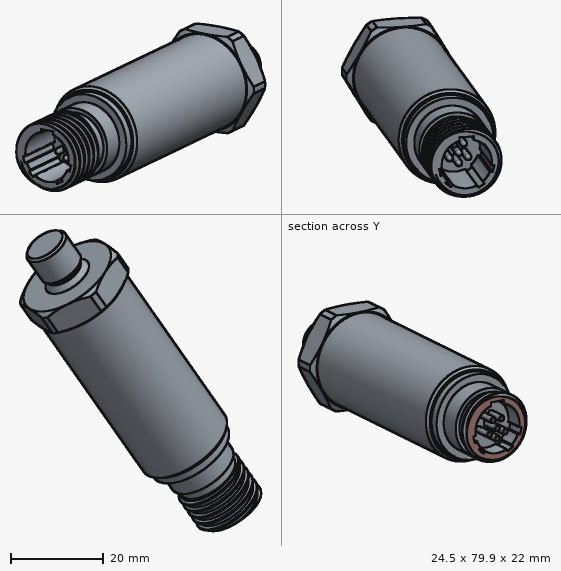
import cadquery as cq
import math

overall_length = 79.9
back_y = overall_length / 2
plug_end_y = -overall_length / 2

stub_diameter = 10.0
stub_length = 7.0
stub_end_chamfer = 0.55
undercut_diameter = 8.5
undercut_length = 0.5
undercut_taper_length = 0.8
root_cone_length = 1.35
root_cone_diameter = 10.95

hex_sides = 6
hex_across_flats = 22.0
hex_corner_diameter = 24.5
hex_length = 6.15
hex_chamfer_angle = 30.0

body_diameter = 21.6
body_length = 45.1
body_chamfer = 0.6
collar_diameter = 19.4
collar_length = 2.1
shoulder_diameter = 15.8
shoulder_length = 4.95
neck_diameter = 13.9

thread_core_diameter = 14.3
thread_diameter = shoulder_diameter
thread_length = 9.6
thread_turns = 5
thread_rise = 9.4
thread_pitch = thread_rise / thread_turns
thread_root_width = 1.1
thread_crest_width = 0.3
thread_embed = 0.2
overrun_turns = 1
thread_start_angle = 130.0

socket_diameter = 11.2
keyway_tip_radius = 6.15
main_keyway_angle = 90.0
main_keyway_width = 3.2
small_keyway_width = 1.5
small_keyway_angles = (-15.0, 195.0, 228.0, 302.0)
pin_diameter = 1.4
pin_length = 4.8
pin_circle_radius = 2.3
pin_angles = (-90.0, -28.0, 62.0, 118.0, 208.0)

undercut_back_y = back_y - stub_length - undercut_taper_length
undercut_front_y = undercut_back_y - undercut_length
hex_back_y = undercut_front_y - root_cone_length
hex_front_y = hex_back_y - hex_length
body_front_y = hex_front_y - body_length
collar_front_y = body_front_y - collar_length
shoulder_front_y = collar_front_y - shoulder_length
thread_back_y = plug_end_y + thread_length

socket_depth = shoulder_front_y - plug_end_y


def xz_plane_at(y):
    """Plane across the axis at height y, with local x along X, local y along Z, facing -Y."""
    return cq.Workplane("XZ", origin=(0, y, 0))


def make_turned_body():
    """Half profile of all round steps, revolved about Y."""
    stub_radius = stub_diameter / 2
    body_radius = body_diameter / 2
    profile = [
        (back_y, 0),
        (back_y, stub_radius - stub_end_chamfer),
        (back_y - stub_end_chamfer, stub_radius),
        (back_y - stub_length, stub_radius),
        (undercut_back_y, undercut_diameter / 2),
        (undercut_front_y, undercut_diameter / 2),
        (hex_back_y, root_cone_diameter / 2),
        (hex_back_y, body_radius),
        (body_front_y + body_chamfer, body_radius),
        (body_front_y, body_radius - body_chamfer),
        (body_front_y, collar_diameter / 2),
        (collar_front_y, collar_diameter / 2),
        (collar_front_y, shoulder_diameter / 2),
        (shoulder_front_y, shoulder_diameter / 2),
        (shoulder_front_y, neck_diameter / 2),
        (thread_back_y, neck_diameter / 2),
        (thread_back_y, 0),
    ]
    return cq.Workplane("YZ").polyline(profile).close().revolve(360, (0, 0, 0), (1, 0, 0))


def make_hexagon():
    """Hexagon with flats facing up and down, corners turned round and both ends chamfered."""
    hex_circumdiameter = hex_across_flats / math.cos(math.pi / hex_sides)
    prism = xz_plane_at(hex_back_y).polygon(hex_sides, hex_circumdiameter).extrude(hex_length)
    end_radius = hex_across_flats / 2
    corner_radius = hex_corner_diameter / 2
    chamfer_length = (corner_radius - end_radius) * math.tan(math.radians(hex_chamfer_angle))
    envelope_profile = [
        (0, hex_back_y),
        (end_radius, hex_back_y),
        (corner_radius, hex_back_y - chamfer_length),
        (corner_radius, hex_front_y + chamfer_length),
        (end_radius, hex_front_y),
        (0, hex_front_y),
    ]
    envelope = cq.Workplane("XY").polyline(envelope_profile).close().revolve(360, (0, 0, 0), (0, 1, 0))
    return prism.intersect(envelope)


def make_threaded_plug():
    """Plug core with a right-handed ridge, trimmed square at both ends of the thread."""
    core_radius = thread_core_diameter / 2
    inner_radius = core_radius - thread_embed
    overrun = thread_pitch * overrun_turns
    total_length = thread_length + 2 * overrun
    helix = cq.Workplane(cq.Wire.makeHelix(thread_pitch, total_length, inner_radius))
    ridge_profile = [
        (inner_radius, -thread_root_width / 2),
        (thread_diameter / 2, -thread_crest_width / 2),
        (thread_diameter / 2, thread_crest_width / 2),
        (inner_radius, thread_root_width / 2),
    ]
    ridge = cq.Workplane("XZ").polyline(ridge_profile).close().sweep(helix, isFrenet=True)
    ridge = ridge.rotate((0, 0, 0), (0, 0, 1), thread_start_angle)
    ridge = ridge.rotate((0, 0, 0), (1, 0, 0), 90)
    ridge = ridge.translate((0, thread_back_y + overrun, 0))
    core_overrun = overrun + thread_pitch
    core = xz_plane_at(thread_back_y + core_overrun).circle(core_radius)
    core = core.extrude(thread_length + 2 * core_overrun)
    trim_zone = xz_plane_at(thread_back_y).circle(thread_diameter).extrude(thread_length)
    return core.union(ridge).intersect(trim_zone)


def make_keyway(angle, width):
    """Bar from the axis out to the keyway tip, along the whole socket."""
    bar = xz_plane_at(shoulder_front_y).rect(keyway_tip_radius, width).extrude(socket_depth)
    bar = bar.translate((keyway_tip_radius / 2, 0, 0))
    return bar.rotate((0, 0, 0), (0, -1, 0), angle)


def make_socket():
    """Round blind socket with one wide and four narrow keyways."""
    socket = xz_plane_at(shoulder_front_y).circle(socket_diameter / 2).extrude(socket_depth)
    socket = socket.union(make_keyway(main_keyway_angle, main_keyway_width))
    for angle in small_keyway_angles:
        socket = socket.union(make_keyway(angle, small_keyway_width))
    return socket


def make_pins():
    """A centre pin and a ring of pins with round tips, rooted in the socket floor."""
    pin_radius = pin_diameter / 2
    pin_places = [(0, 0)]
    for angle in pin_angles:
        turn = math.radians(angle)
        pin_places.append((pin_circle_radius * math.cos(turn), pin_circle_radius * math.sin(turn)))
    root_depth = pin_radius
    tip_centre_y = shoulder_front_y - pin_length + pin_radius
    shank_length = shoulder_front_y + root_depth - tip_centre_y
    shanks = xz_plane_at(shoulder_front_y + root_depth).pushPoints(pin_places).circle(pin_radius)
    pins = shanks.extrude(shank_length)
    tips = xz_plane_at(tip_centre_y).pushPoints(pin_places).sphere(pin_radius)
    return pins.union(tips)


result = make_turned_body().union(make_hexagon()).union(make_threaded_plug())
result = result.cut(make_socket()).union(make_pins())